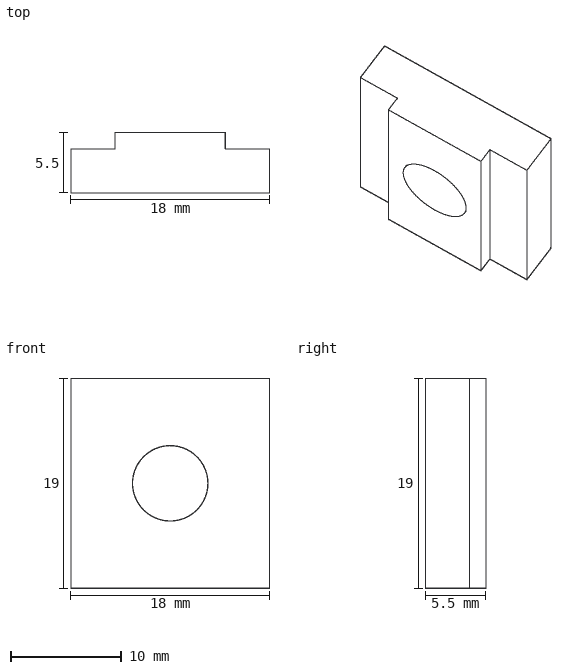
import cadquery as cq

width = 18.0
height = 19.0
total_depth = 5.5
plate_depth = 4.0
tongue_width = 10.0
hole_diameter = 6.8

tongue_depth = total_depth - plate_depth

plate = cq.Workplane("XY").box(width, plate_depth, height, centered=(True, False, True))

tongue = (
    cq.Workplane("XY", origin=(0, plate_depth, 0))
    .box(tongue_width, tongue_depth, height, centered=(True, False, True))
)

hole = (
    cq.Workplane("XZ")
    .circle(hole_diameter / 2)
    .extrude(-total_depth)
)

result = plate.union(tongue).cut(hole)